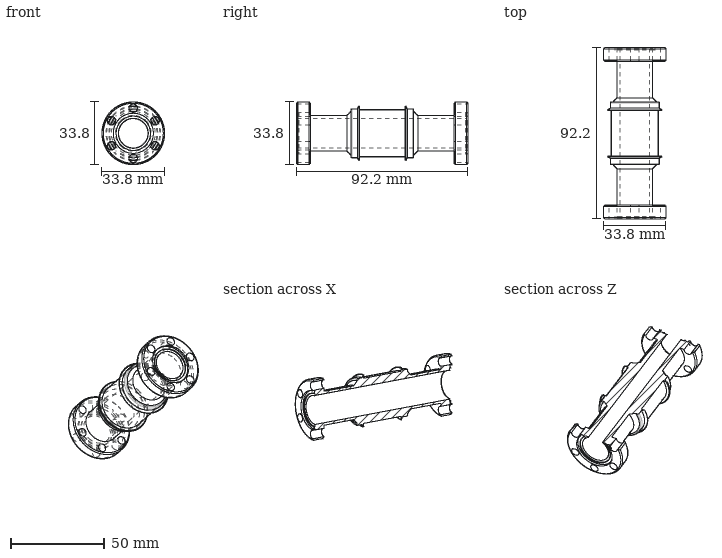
import cadquery as cq
import math

LENGTH = 92.2
HALF_LENGTH = LENGTH / 2

FLANGE_RADIUS = 16.9
FLANGE_THICKNESS = 7.5
FLANGE_CHAMFER = 0.7

BOLT_COUNT = 6
BOLT_CIRCLE_RADIUS = 13.5
BOLT_HOLE_DIAMETER = 4.4
FIRST_BOLT_ANGLE = 90.0

BORE_RADIUS = 7.9
RECESS_RADIUS = 10.8
KNIFE_RADIUS = 9.2
KNIFE_SETBACK = 0.6
RECESS_DEPTH = 1.3
COUNTERBORE_DEPTH = RECESS_DEPTH

TUBE_RADIUS = 9.6
CONE_START = 27.0
CONE_END = 29.2
CONE_END_RADIUS = TUBE_RADIUS + CONE_END - CONE_START

COLLAR_RADIUS = 13.2
COLLAR_FILLET = 0.6
COLLAR_END = 32.6

LIP_RADIUS = 14.7
LIP_RIM_RADIUS = 14.3
LIP_PEAK = 33.5
LIP_END = 33.8

BODY_RADIUS = 12.7

EDGE_TOLERANCE = 0.1


def outer_points():
    """(radius, distance from the end face) along the outside of one half, end to lip."""
    flange_edge = FLANGE_RADIUS - FLANGE_CHAMFER
    return [
        (flange_edge, 0),
        (FLANGE_RADIUS, FLANGE_CHAMFER),
        (FLANGE_RADIUS, FLANGE_THICKNESS - FLANGE_CHAMFER),
        (flange_edge, FLANGE_THICKNESS),
        (TUBE_RADIUS, FLANGE_THICKNESS),
        (TUBE_RADIUS, CONE_START),
        (CONE_END_RADIUS, CONE_END),
        (COLLAR_RADIUS, CONE_END),
        (COLLAR_RADIUS, COLLAR_END),
        (LIP_RADIUS, LIP_PEAK),
        (LIP_RIM_RADIUS, LIP_END),
        (BODY_RADIUS, LIP_END),
    ]


def recess_points():
    """(radius, distance from the end face) from the bore out to the edge of the seal recess."""
    return [
        (BORE_RADIUS, COUNTERBORE_DEPTH),
        (KNIFE_RADIUS, COUNTERBORE_DEPTH),
        (KNIFE_RADIUS, KNIFE_SETBACK),
        (RECESS_RADIUS, RECESS_DEPTH),
        (RECESS_RADIUS, 0),
    ]


def turned_body():
    """Whole body of revolution about Y, symmetric about its middle."""
    half = [(radius, depth - HALF_LENGTH) for radius, depth in recess_points() + outer_points()]
    mirrored = [(radius, -y) for radius, y in reversed(half)]
    body = cq.Workplane("XY").polyline(half + mirrored).close().revolve(360, (0, 0), (0, 1))
    span = 2 * COLLAR_RADIUS
    for y in (CONE_END - HALF_LENGTH, HALF_LENGTH - CONE_END):
        near_shoulder = cq.selectors.BoxSelector(
            (-span, y - EDGE_TOLERANCE, -span), (span, y + EDGE_TOLERANCE, span)
        )
        collar_rim = body.edges(near_shoulder).edges(cq.selectors.RadiusNthSelector(-1))
        body = collar_rim.fillet(COLLAR_FILLET)
    return body


def bolt_holes():
    """Bolt hole cutters reaching through the flange on the -Y side."""
    centres = []
    for i in range(BOLT_COUNT):
        angle = math.radians(FIRST_BOLT_ANGLE + i * 360 / BOLT_COUNT)
        x = BOLT_CIRCLE_RADIUS * math.cos(angle)
        z = BOLT_CIRCLE_RADIUS * math.sin(angle)
        centres.append((x, z))
    return (
        cq.Workplane("XZ", origin=(0, -HALF_LENGTH, 0))
        .pushPoints(centres)
        .circle(BOLT_HOLE_DIAMETER / 2)
        .extrude(-FLANGE_THICKNESS)
    )


front_holes = bolt_holes()
result = turned_body().cut(front_holes).cut(front_holes.mirror("XZ"))